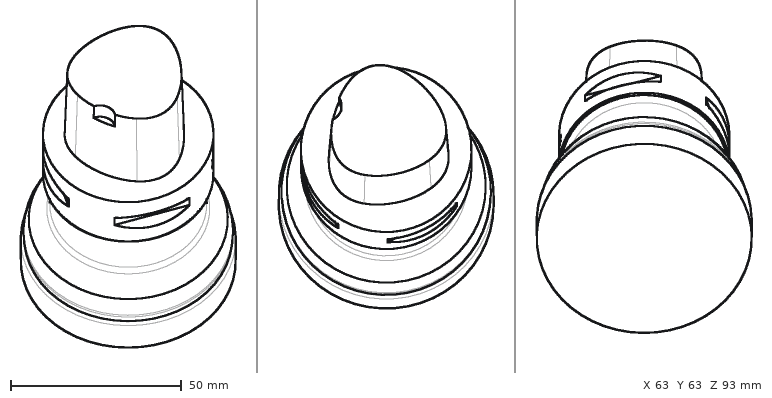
import cadquery as cq
import math

overall_height = 93.0
shank_height = 30.0
collar_height = 19.5
collar_top_z = overall_height - shank_height
collar_bottom_z = collar_top_z - collar_height
base_ring_height = 11.7
belt_bottom_z = 14.0
belt_top_z = 14.9
shoulder_z = 20.8
neck_bottom_z = 28.2
neck_top_z = 41.0

collar_radius = 50.0 / 2
neck_radius = 46.0 / 2
belt_radius = 61.36 / 2
shoulder_fillet = 3.0
crown_radius = 11.7

base_ring_radius = 63.01 / 2
base_ring_fillet = 0.8

relief_radius = 2.0
collar_chamfer = 0.5

shank_base_radius = 35.0 / 2
shank_taper = 1 / 20
shank_lobe = 1.15
shank_lobe_count = 3
first_lobe_angle = 90.0
lobe_half_angle = 28.8
curve_spans = 8

notch_depth = 5.6
notch_radius = 4.5
notch_wall_y = -13.8

groove_count = 4
groove_start_angle = 45.0
groove_below_top = 10.0
groove_floor_height = 3.4
groove_floor_distance = 22.15
groove_flank_slope = math.tan(math.radians(30))
groove_reach = 4.0


def arc_drop(radius, along):
    """Sideways drop of an arc after running a distance along its tangent."""
    return radius - math.sqrt(radius**2 - along**2)


def relief_point(sweep):
    """Point of the hollow arc under the collar, swept from the top of the neck."""
    return (
        neck_radius + relief_radius * (1 - math.cos(sweep)),
        neck_top_z + relief_radius * math.sin(sweep),
    )


def holder_body():
    """Turned body: collar, neck, 45 degree shoulder and rounded crown with a narrowing skirt."""
    tilt = math.radians(45)
    half_tilt = tilt / 2
    fillet_rise = shoulder_fillet * math.sin(tilt)
    fillet_out = shoulder_fillet * (1 - math.cos(tilt))
    cone_top_z = neck_bottom_z - fillet_rise
    cone_top_radius = neck_radius + fillet_out
    shoulder_radius = cone_top_radius + cone_top_z - shoulder_z
    fillet_mid = (
        neck_radius + shoulder_fillet * (1 - math.cos(half_tilt)),
        neck_bottom_z - shoulder_fillet * math.sin(half_tilt),
    )

    chamfer_radius = collar_radius - collar_chamfer
    chamfer_z = collar_bottom_z - collar_chamfer
    relief_end = relief_point(math.acos(1 - (chamfer_radius - neck_radius) / relief_radius))
    relief_mid = relief_point(half_tilt)

    crown_mid_rise = (shoulder_z - belt_top_z) / 2
    crown_mid = (belt_radius - arc_drop(crown_radius, crown_mid_rise), belt_top_z + crown_mid_rise)

    skirt_run = belt_bottom_z - base_ring_height
    skirt_mid = (belt_radius - arc_drop(crown_radius, skirt_run / 2), belt_bottom_z - skirt_run / 2)
    skirt_end = (belt_radius - arc_drop(crown_radius, skirt_run), base_ring_height)

    profile = (
        cq.Workplane("XZ")
        .moveTo(0, base_ring_height)
        .lineTo(*skirt_end)
        .threePointArc(skirt_mid, (belt_radius, belt_bottom_z))
        .lineTo(belt_radius, belt_top_z)
        .threePointArc(crown_mid, (shoulder_radius, shoulder_z))
        .lineTo(cone_top_radius, cone_top_z)
        .threePointArc(fillet_mid, (neck_radius, neck_bottom_z))
        .lineTo(neck_radius, neck_top_z)
        .threePointArc(relief_mid, relief_end)
        .lineTo(chamfer_radius, chamfer_z)
        .lineTo(collar_radius, collar_bottom_z)
        .lineTo(collar_radius, collar_top_z)
        .lineTo(0, collar_top_z)
        .close()
    )
    return profile.revolve(360, (0, 0, 0), (0, 1, 0))


def gripper_grooves():
    """V-sided straight grooves on the diagonals of the collar."""
    half_floor = groove_floor_height / 2
    half_mouth = half_floor + groove_reach * groove_flank_slope
    mouth_distance = groove_floor_distance + groove_reach
    groove = (
        cq.Workplane("XZ")
        .polyline(
            [
                (groove_floor_distance, -half_floor),
                (mouth_distance, -half_mouth),
                (mouth_distance, half_mouth),
                (groove_floor_distance, half_floor),
            ]
        )
        .close()
        .extrude(collar_radius, both=True)
        .translate((0, 0, collar_top_z - groove_below_top))
    )
    grooves = cq.Workplane("XY")
    for index in range(groove_count):
        angle = groove_start_angle + index * 360 / groove_count
        grooves = grooves.add(groove.rotate((0, 0, 0), (0, 0, 1), angle))
    return grooves.combine()


def shank_point(radius, angle):
    """Point of the three-lobed polygon curve at a generating angle in radians."""
    lobe_angle = math.radians(first_lobe_angle)
    turn = angle - lobe_angle
    counter_turn = lobe_angle - (shank_lobe_count - 1) * turn
    return (
        radius * math.cos(angle) + shank_lobe * math.cos(counter_turn),
        radius * math.sin(angle) + shank_lobe * math.sin(counter_turn),
    )


def shank_curve(radius, height, start_angle, end_angle):
    """Stretch of the polygon curve between two generating angles in degrees."""
    points = []
    for index in range(curve_spans + 1):
        angle = start_angle + (end_angle - start_angle) * index / curve_spans
        points.append(cq.Vector(*shank_point(radius, math.radians(angle)), height))
    return cq.Edge.makeSpline(points)


def shank_outline(radius, height):
    """Closed outline made of alternating lobe and flank curves."""
    pitch = 360 / shank_lobe_count
    edges = []
    for lobe in range(shank_lobe_count):
        lobe_angle = first_lobe_angle + lobe * pitch
        lobe_start = lobe_angle - lobe_half_angle
        lobe_end = lobe_angle + lobe_half_angle
        edges.append(shank_curve(radius, height, lobe_start, lobe_end))
        edges.append(shank_curve(radius, height, lobe_end, lobe_start + pitch))
    return cq.Wire.assembleEdges(edges)


def shank_body():
    """Tapered polygon shank with a round notch in its top edge."""
    top_radius = shank_base_radius - shank_height * shank_taper / 2
    outlines = [
        shank_outline(shank_base_radius, collar_top_z),
        shank_outline(top_radius, overall_height),
    ]
    notch = (
        cq.Workplane("XY", origin=(0, notch_wall_y - notch_radius, overall_height - notch_depth))
        .circle(notch_radius)
        .extrude(notch_depth)
    )
    return cq.Workplane(cq.Solid.makeLoft(outlines, True)).cut(notch)


def base_ring_body():
    """Plain disc under the holder with a rounded upper edge."""
    return (
        cq.Workplane("XY")
        .circle(base_ring_radius)
        .extrude(base_ring_height)
        .faces(">Z")
        .edges()
        .fillet(base_ring_fillet)
    )


holder = holder_body().cut(gripper_grooves()).union(shank_body())
base_ring = base_ring_body()

result = cq.Compound.makeCompound([holder.val(), base_ring.val()])